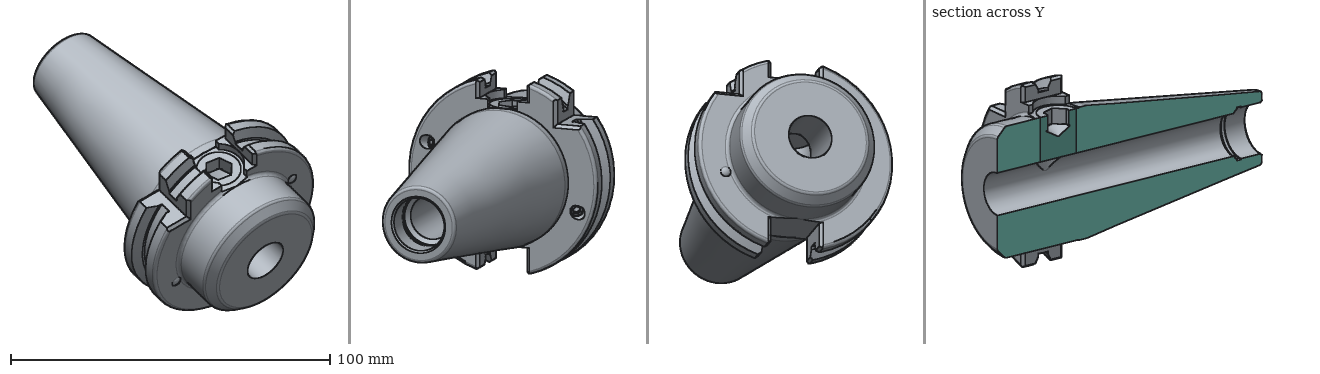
import cadquery as cq
import math

total_length = 103.4
gauge_x = 68.5
flange_front_x = 71.6
flange_rear_x = 87.5
flange_width = flange_rear_x - flange_front_x

taper_slope = 7 / 48
gauge_radius = 22.2
tip_radius = gauge_radius - gauge_x * taper_slope
tip_round = 1.0
nose_radius = 22.0
nose_chamfer = 3.2
nose_round = 1.3
nose_root_round = 1.1

flange_radius = 31.8
flange_round = 1.0
groove_x = 79.5
groove_mouth_width = 7.1
groove_floor_width = 3.7
groove_floor_radius = 28.0
groove_side_angle = 30
groove_flat_y = 27.1

slot_half_width = 8.0
slot_top_floor = 24.7
slot_bottom_floor = 22.0
edge_chamfer = 1.0
notch_wall_y = -18.2
notch_floor_z = 18.4

bore_radius = 7.0
socket_radius = 8.5
socket_depth = 8.3
relief_radius = 8.8
relief_width = 1.4
socket_mouth_chamfer = 0.6
socket_cone_length = 1.4

clamp_radius = 6.98
clamp_top = 22.0
clamp_bottom = bore_radius
clamp_recess_radius = 8.1
clamp_recess_half_width = 5.0
clamp_hex_flats = 8.0
clamp_hex_depth = 5.2
clamp_hex_turn = 20
hex_point_angle = 60

plug_radius = 2.2
plug_circle_radius = 27.0
plug_tilt = 30
plug_depth = 2.0
plug_length = 4.1
plug_rim_chamfer = 0.3
plug_hex_flats = 2.3
plug_hex_depth = 1.5

ball_radius = 2.3
ball_circle_radius = 24.4
ball_bulge = 0.7

coolant_clock_angle = 20
coolant_sides = (1, -1)

far = 2 * flange_radius


def hex_socket(flats, depth, turn):
    """Hexagonal pocket with a conical bottom, open at Z = 0 and going down."""
    corner_radius = flats / math.sqrt(3)
    cone_height = corner_radius / math.tan(math.radians(hex_point_angle))
    prism = cq.Workplane("XY").polygon(6, 2 * corner_radius).extrude(-depth)
    cone = cq.Workplane("XZ").polyline(
        [(0, -depth), (corner_radius, -depth), (0, -depth - cone_height)]
    ).close().revolve(360, (0, 0, 0), (0, 1, 0))
    return prism.union(cone).rotate((0, 0, 0), (0, 0, 1), turn)


def set_screw(radius, length, flats, depth, turn=0):
    """Headless screw with its socket face at Z = 0 and its body below."""
    body = cq.Workplane("XY").circle(radius).extrude(-length)
    return body.cut(hex_socket(flats, depth, turn))


def turned_body():
    """Outer shape of the holder as one revolved profile."""
    slope_angle = math.atan(taper_slope)
    tip_tangent = tip_round * math.tan((math.pi / 2 - slope_angle) / 2)
    tip_x = tip_tangent * math.cos(slope_angle)
    half_mouth = groove_mouth_width / 2
    half_floor = groove_floor_width / 2
    side_depth = (half_mouth - half_floor) / math.tan(math.radians(groove_side_angle))
    side_radius = flange_radius - side_depth
    nose_tangent = nose_round * math.tan(math.pi / 8)
    nose_diagonal = nose_tangent / math.sqrt(2)
    cone_x = total_length - nose_chamfer
    face_radius = nose_radius - nose_chamfer
    profile = (
        cq.Workplane("XY")
        .moveTo(0, 0)
        .lineTo(0, tip_radius - tip_tangent)
        .radiusArc((tip_x, tip_radius + tip_tangent * math.sin(slope_angle)), tip_round)
        .lineTo(gauge_x, gauge_radius)
        .lineTo(flange_front_x, gauge_radius)
        .lineTo(flange_front_x, flange_radius - flange_round)
        .radiusArc((flange_front_x + flange_round, flange_radius), flange_round)
        .lineTo(groove_x - half_mouth, flange_radius)
        .lineTo(groove_x - half_floor, side_radius)
        .lineTo(groove_x - half_floor, groove_floor_radius)
        .lineTo(groove_x + half_floor, groove_floor_radius)
        .lineTo(groove_x + half_floor, side_radius)
        .lineTo(groove_x + half_mouth, flange_radius)
        .lineTo(flange_rear_x - flange_round, flange_radius)
        .radiusArc((flange_rear_x, flange_radius - flange_round), flange_round)
        .lineTo(flange_rear_x, nose_radius + nose_root_round)
        .radiusArc((flange_rear_x + nose_root_round, nose_radius), -nose_root_round)
        .lineTo(cone_x - nose_tangent, nose_radius)
        .radiusArc((cone_x + nose_diagonal, nose_radius - nose_diagonal), nose_round)
        .lineTo(total_length - nose_diagonal, face_radius + nose_diagonal)
        .radiusArc((total_length, face_radius - nose_tangent), nose_round)
        .lineTo(total_length, 0)
        .close()
    )
    return profile.revolve(360, (0, 0, 0), (1, 0, 0))


def groove_flat_cutter():
    return cq.Workplane("XY").box(
        groove_floor_width, far, far, centered=(True, False, True)
    ).translate((groove_x, groove_flat_y, 0))


def bore_cutter():
    """Through bore with a chamfered socket at the small end, a relief groove and a cone."""
    mouth = socket_radius + socket_mouth_chamfer
    relief_end = socket_depth + relief_width
    profile = cq.Workplane("XY").polyline([
        (0, 0),
        (0, mouth),
        (socket_mouth_chamfer, socket_radius),
        (socket_depth, socket_radius),
        (socket_depth, relief_radius),
        (relief_end, relief_radius),
        (relief_end, socket_radius),
        (relief_end + socket_cone_length, bore_radius),
        (total_length, bore_radius),
        (total_length, 0),
    ]).close()
    return profile.revolve(360, (0, 0, 0), (1, 0, 0))


def flared_side(level, outer):
    """Outline across the flange: straight at `level`, flared by the chamfer at both faces."""
    flare = level + math.copysign(edge_chamfer, level - outer)
    return [
        (flange_front_x, outer),
        (flange_front_x, flare),
        (flange_front_x + edge_chamfer, level),
        (flange_rear_x - edge_chamfer, level),
        (flange_rear_x, flare),
        (flange_rear_x, outer),
    ]


def slot_cutter(floor):
    """Upward-facing drive slot whose side walls are chamfered at both faces and at the rim.

    It also clears the round at the root of the nose.
    """
    right_side = flared_side(slot_half_width, 0)
    left_side = [(x, -y) for x, y in reversed(right_side)]
    slot = (
        cq.Workplane("XY", origin=(0, 0, floor))
        .polyline(right_side[1:-1] + left_side[1:-1]).close().extrude(flange_radius - floor)
    )
    rim_y = slot_half_width + edge_chamfer
    rim_z = math.sqrt(flange_radius**2 - rim_y**2)
    wall_z = math.sqrt(flange_radius**2 - slot_half_width**2) - edge_chamfer
    rim_slope = (rim_z - wall_z) / edge_chamfer
    top_z = wall_z + rim_slope * 2 * slot_half_width
    rim_chamfer = (
        cq.Workplane("YZ", origin=(flange_front_x, 0, 0))
        .polyline([
            (-slot_half_width, wall_z),
            (slot_half_width, wall_z),
            (3 * slot_half_width, top_z),
            (-3 * slot_half_width, top_z),
        ]).close().extrude(flange_width)
    )
    root_clearance = cq.Workplane("XY").box(
        nose_root_round, 2 * slot_half_width, flange_radius - floor, centered=(False, True, False)
    ).translate((flange_rear_x, 0, floor))
    return slot.union(rim_chamfer).union(root_clearance)


def notch_cutter():
    """Corner notch; crossing two flared prisms mitres its edge chamfers."""
    beside_wall = (
        cq.Workplane("XY").polyline(flared_side(notch_wall_y, -far)).close().extrude(far)
    )
    above_floor = (
        cq.Workplane("XZ").polyline(flared_side(notch_floor_z, far)).close().extrude(far)
    )
    return beside_wall.intersect(above_floor)


def clamp_recess_cutter():
    """Flat recess along the top slot, widened to a circle around the clamp screw."""
    length = flange_width + nose_root_round
    height = flange_radius - clamp_top
    channel = cq.Workplane("XY").box(
        length, 2 * clamp_recess_half_width, height, centered=(False, True, False)
    ).translate((flange_front_x, 0, clamp_top))
    pocket = (
        cq.Workplane("XY", origin=(groove_x, 0, clamp_top))
        .circle(clamp_recess_radius).extrude(slot_top_floor - clamp_top)
    )
    return channel.union(pocket)


def clamp_hole_cutter():
    return (
        cq.Workplane("XY", origin=(groove_x, 0, 0)).circle(clamp_radius).extrude(clamp_top)
    )


def turn_to_side(shape, side):
    """Turn a shape from above the axis to its coolant position on the +Y or -Y side."""
    half_turn = 0 if side > 0 else 180
    return shape.rotate((0, 0, 0), (1, 0, 0), coolant_clock_angle - 90 + half_turn)


def in_plug_hole(shape, side):
    """Move a shape standing on the Z axis, with the hole mouth at Z = 0, into a plug hole."""
    tilted = shape.rotate((0, 0, 0), (0, 1, 0), plug_tilt - 90)
    return turn_to_side(tilted.translate((flange_front_x, 0, plug_circle_radius)), side)


def plug_hole_cutter(side):
    bottom = plug_depth + plug_length
    hole = (
        cq.Workplane("XY", origin=(0, 0, -bottom)).circle(plug_radius).extrude(2 * bottom)
    )
    return in_plug_hole(hole, side)


def make_holder():
    holder = turned_body().cut(groove_flat_cutter()).cut(bore_cutter())
    holder = holder.cut(slot_cutter(slot_top_floor))
    holder = holder.cut(slot_cutter(slot_bottom_floor).rotate((0, 0, 0), (1, 0, 0), 180))
    holder = holder.cut(notch_cutter()).cut(clamp_recess_cutter()).cut(clamp_hole_cutter())
    for side in coolant_sides:
        holder = holder.cut(plug_hole_cutter(side)).cut(make_nozzle_ball(side))
    return holder


def make_clamp_screw():
    length = clamp_top - clamp_bottom
    screw = set_screw(clamp_radius, length, clamp_hex_flats, clamp_hex_depth, clamp_hex_turn)
    return screw.translate((groove_x, 0, clamp_top))


def make_plug(side):
    screw = set_screw(plug_radius, plug_length, plug_hex_flats, plug_hex_depth)
    screw = screw.faces(">Z").edges("%CIRCLE").chamfer(plug_rim_chamfer)
    return in_plug_hole(screw.translate((0, 0, -plug_depth)), side)


def make_nozzle_ball(side):
    center_x = flange_rear_x + ball_bulge - ball_radius
    ball = cq.Workplane("XY").sphere(ball_radius)
    return turn_to_side(ball.translate((center_x, 0, ball_circle_radius)), side)


holder = make_holder()
clamp_screw = make_clamp_screw()
plugs = [make_plug(side) for side in coolant_sides]
nozzle_balls = [make_nozzle_ball(side) for side in coolant_sides]

result = cq.Compound.makeCompound([
    holder.val(),
    clamp_screw.val(),
    *[plug.val() for plug in plugs],
    *[ball.val() for ball in nozzle_balls],
])